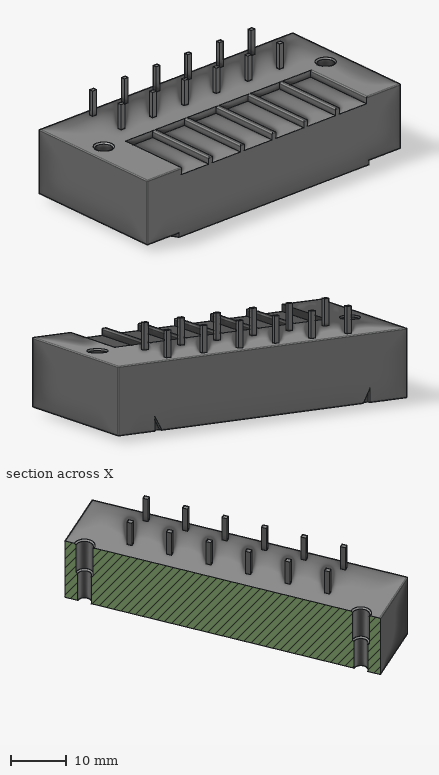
import cadquery as cq

body_length_x = 29.0
body_length_y = 60.96
body_height = 12.8
overall_height = 19.29
edge_radius = 0.2

station_count = 6
station_pitch = 7.62
first_station_offset = -(station_count - 1) / 2 * station_pitch

pin_length = 5.0
pin_size_x = 0.8
pin_size_y = 0.95
first_pin_row_x = 1.95
pin_row_count = 2
pin_row_spacing = station_pitch
pin_row_shift_y = -0.2

pocket_start_x = 14.0
pocket_depth = 1.35
pocket_half_width = 22.25
rib_width = 0.95
rib_radius = 0.3
pocket_edge_radius = 0.25

hole_x = 13.1
hole_spacing_y = (station_count + 1) * station_pitch
hole_diameter = 2.6
hole_upper_diameter = 3.2
hole_upper_depth = body_height / 2
hole_mouth_chamfer = 0.3

rail_length_y = station_count * station_pitch
rail_start_x = 13.4
rail_start_slope = 0.3
rail_drop = 0.7
hook_start_x = 26.1
hook_drop = overall_height - pin_length - body_height
hook_end_drop = 0.8

notch_y = 22.72
notch_width = 1.5
notch_height = 2.7
notch_depth = 0.8


def make_body():
    block = cq.Workplane("XY").box(
        body_length_x, body_length_y, body_height, centered=(False, True, False)
    )
    return block.edges("#Z or (|Z and (>X or >Y))").fillet(edge_radius)


def make_pocket_row():
    """Space emptied by all pockets, with the ribs left standing.

    The +Y wall meets the top face in a rounded edge; the -Y wall stays sharp.
    """
    floor_z = body_height - pocket_depth
    shoulder_z = body_height - pocket_edge_radius
    row = (
        cq.Workplane("YZ", origin=(pocket_start_x, 0, 0))
        .moveTo(-pocket_half_width, floor_z)
        .lineTo(pocket_half_width, floor_z)
        .lineTo(pocket_half_width, shoulder_z)
        .radiusArc((pocket_half_width + pocket_edge_radius, body_height), pocket_edge_radius)
        .lineTo(-pocket_half_width, body_height)
        .close()
        .extrude(body_length_x - pocket_start_x)
    )
    for index in range(1, station_count):
        rib_y = first_station_offset + (index - 0.5) * station_pitch
        row = row.cut(make_rib(rib_y))
    return row


def make_rib(rib_y):
    """Rib between two pockets, rounded along both top edges."""
    return (
        cq.Workplane("XY", origin=(pocket_start_x, rib_y, body_height - pocket_depth))
        .box(body_length_x - pocket_start_x, rib_width, pocket_depth, centered=(False, True, False))
        .edges("|X and >Z")
        .fillet(rib_radius)
    )


def make_hole(hole_y):
    """Stepped through hole with a chamfered mouth, as a solid of revolution."""
    lower_radius = hole_diameter / 2
    upper_radius = hole_upper_diameter / 2
    shoulder_top_z = body_height - hole_upper_depth
    shoulder_bottom_z = shoulder_top_z - (upper_radius - lower_radius)
    return (
        cq.Workplane("XZ", origin=(hole_x, hole_y, 0))
        .lineTo(lower_radius, 0)
        .lineTo(lower_radius, shoulder_bottom_z)
        .lineTo(upper_radius, shoulder_top_z)
        .lineTo(upper_radius, body_height - hole_mouth_chamfer)
        .lineTo(upper_radius + hole_mouth_chamfer, body_height)
        .lineTo(0, body_height)
        .close()
        .revolve(360, (0, 0), (0, 1))
    )


def make_pin(pin_x, pin_y):
    return cq.Workplane("XY", origin=(pin_x, pin_y, body_height)).box(
        pin_size_x, pin_size_y, pin_length, centered=(True, True, False)
    )


def make_rail():
    """Rail along Y, sunk into the body past the rounded edges so that they join."""
    return (
        cq.Workplane("XZ", origin=(0, rail_length_y / 2, 0))
        .moveTo(rail_start_x, 0)
        .lineTo(rail_start_x + rail_start_slope, -rail_drop)
        .lineTo(hook_start_x, -rail_drop)
        .lineTo(hook_start_x, -hook_drop)
        .lineTo(body_length_x, -hook_end_drop)
        .lineTo(body_length_x, edge_radius)
        .lineTo(rail_start_x, edge_radius)
        .close()
        .extrude(rail_length_y)
    )


def make_notch(side):
    """Right-angled notch, upright on its outer side and sloping down towards the middle."""
    return (
        cq.Workplane("YZ")
        .moveTo(side * notch_y, 0)
        .lineTo(side * notch_y, notch_height)
        .lineTo(side * (notch_y - notch_width), 0)
        .close()
        .extrude(notch_depth)
    )


def make_pins():
    pins = cq.Workplane("XY")
    for row in range(pin_row_count):
        pin_x = first_pin_row_x + row * pin_row_spacing
        for station in range(station_count):
            pin_y = first_station_offset + station * station_pitch + pin_row_shift_y
            pins = pins.add(make_pin(pin_x, pin_y))
    return pins.combine()


result = make_body().cut(make_pocket_row()).union(make_rail())
for side in (-1, 1):
    result = result.cut(make_hole(side * hole_spacing_y / 2))
    result = result.cut(make_notch(side))
result = result.union(make_pins())